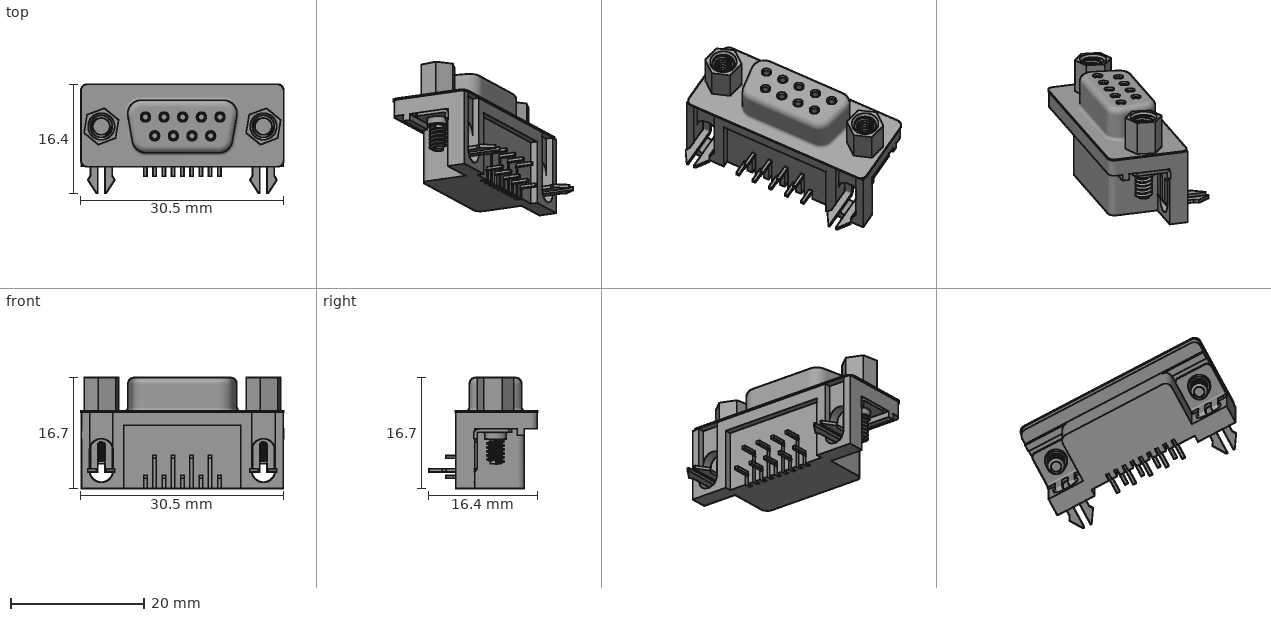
import cadquery as cq
import math


FLANGE_WIDTH = 30.5
FLANGE_FRONT = -6.08
FLANGE_REAR = 6.37
FLANGE_TOP = 11.68
FLANGE_THICKNESS = 0.22
FLANGE_CORNER_RADIUS = 1.03
FLANGE_BOTTOM = FLANGE_TOP - FLANGE_THICKNESS

HOUSING_INSET = 0.09
HOUSING_WIDTH = FLANGE_WIDTH - 2 * HOUSING_INSET
HOUSING_FRONT = FLANGE_FRONT + HOUSING_INSET
HOUSING_REAR = FLANGE_REAR - HOUSING_INSET
REAR_CORNER_RADIUS = 1.06
TOP_BLOCK_BOTTOM = 8.97
FRONT_WALL_REAR = -3.15

CORE_WIDTH = 18.5
CORE_REAR = 4.32
CORE_EDGE_RADIUS = 1.05
RIB_THICKNESS = CORE_EDGE_RADIUS
RIB_BOTTOM = 8.03

SHELL_TOP = 16.7
SHELL_DEPTH = 7.9
SHELL_MID_WIDTH = 15.8
SHELL_SIDE_ANGLE = 10
SHELL_CORNER_RADIUS = 2.05
SHELL_TOP_RADIUS = 1.0
SHELL_FOOT_RADIUS = 0.5

CONTACT_PITCH = 2.8
CONTACT_SHIFT = 0.05
ROW_Y = 1.41
LONG_ROW_COUNT = 5
SHORT_ROW_COUNT = 4
CONTACT_RADIUS = 0.5
CONTACT_MOUTH_RADIUS = 0.73
CONTACT_DEPTH = 6.0

RECESS_DEPTH = 1.05
RECESS_BACK = HOUSING_FRONT + RECESS_DEPTH
POCKET_WIDTH = 17.55
POCKET_TOP = 9.54
PIN_PITCH = 2.78
PIN_WIDTH = 0.52
PIN_THICKNESS = 0.44
PIN_TIP = -7.49
PIN_SLOT_DEPTH = 1.0
LOW_PIN_TOP = 2.0
HIGH_PIN_TOP = 5.0

SCREW_X = 12.17
LOCK_SLOT_WIDTH = 3.5
LOCK_HOLE_BOTTOM = 0.99
LOCK_HOLE_TOP = 7.5

BRACKET_THICKNESS = 0.5
BRACKET_OVERHANG = 0.03
BRACKET_WIDTH = HOUSING_WIDTH - 2 * SCREW_X + 2 * BRACKET_OVERHANG
BRACKET_REAR = 2.47
BRACKET_CORNER = 0.5
LEG_REAR = -2.77
LEG_FRONT = LEG_REAR - BRACKET_THICKNESS
LEG_SHOULDER = 7.0
PRONG_TOP = 3.0
PRONG_BOTTOM = PRONG_TOP - BRACKET_THICKNESS
BEND_INNER_RADIUS = 0.2
BEND_OUTER_RADIUS = BEND_INNER_RADIUS + BRACKET_THICKNESS

PRONG_HALF_WIDTH = 1.65
PRONG_GAP = 1.04
GAP_TOP = 7.02
BARB_HALF_WIDTH = 2.03
BARB_START = -7.4
BARB_PEAK = -8.03
PRONG_TIP = -10.02
TIP_WIDTH = 0.22

COLLAR_RADIUS = 1.63
COLLAR_FLARE = 0.08
COLLAR_FLARE_HEIGHT = 0.26
COLLAR_BOTTOM = 7.45

HEX_CORNER_DIAMETER = 5.54
HEX_TURN = 20.6
STUD_RADIUS = 1.31
STUD_CREST_RADIUS = 1.29
STUD_CORE_RADIUS = 0.79
STUD_END = 3.72
THREAD_PITCH = 0.6
STUD_THREAD_START = 3.94
STUD_THREAD_TURNS = 5.5
THREAD_OVERLAP = 0.05
CREST_FLAT = 0.08
THREAD_BASE = 0.9 * THREAD_PITCH

NUT_MINOR_RADIUS = 1.27
NUT_MAJOR_RADIUS = 1.65
NUT_MOUTH_RADIUS = 2.0
NUT_DEPTH = 4.0
NUT_THREAD_TURNS = 5


def box(x_range, y_range, z_range):
    """Axis-aligned block between the given limits."""
    size = [high - low for low, high in (x_range, y_range, z_range)]
    corner = (x_range[0], y_range[0], z_range[0])
    return cq.Workplane("XY").box(*size, centered=False).translate(corner)


def centred_box(width, y_range, z_range):
    """Block of the given X width, symmetric about X = 0."""
    return box((-width / 2, width / 2), y_range, z_range)


def cylinder(radius, bottom, top):
    """Vertical cylinder on the Z axis."""
    return cq.Workplane("XY").workplane(offset=bottom).circle(radius).extrude(top - bottom)


def cone(bottom_radius, top_radius, bottom, top):
    """Truncated vertical cone on the Z axis."""
    solid = cq.Solid.makeCone(bottom_radius, top_radius, top - bottom, pnt=cq.Vector(0, 0, bottom))
    return cq.Workplane(obj=solid)


def row_positions(count, pitch):
    """X positions of one row of contacts or pins, centred on X = 0."""
    return [(i - (count - 1) / 2) * pitch for i in range(count)]


def make_flange():
    flange = centred_box(FLANGE_WIDTH, (FLANGE_FRONT, FLANGE_REAR), (FLANGE_BOTTOM, FLANGE_TOP))
    return flange.edges("|Z").fillet(FLANGE_CORNER_RADIUS)


def make_housing():
    top_block = centred_box(HOUSING_WIDTH, (HOUSING_FRONT, HOUSING_REAR), (TOP_BLOCK_BOTTOM, FLANGE_BOTTOM))
    top_block = top_block.edges("|Z and >Y").fillet(REAR_CORNER_RADIUS)
    front_wall = centred_box(HOUSING_WIDTH, (HOUSING_FRONT, FRONT_WALL_REAR), (0, TOP_BLOCK_BOTTOM))
    core = centred_box(CORE_WIDTH, (FRONT_WALL_REAR, CORE_REAR), (0, TOP_BLOCK_BOTTOM))
    core = core.edges("|Z and >Y").fillet(CORE_EDGE_RADIUS)
    rib = centred_box(HOUSING_WIDTH, (CORE_REAR - RIB_THICKNESS, CORE_REAR), (RIB_BOTTOM, TOP_BLOCK_BOTTOM))
    return top_block.union(front_wall).union(core).union(rib)


def make_shell():
    """Solid D-shaped socket with a rounded top edge."""
    half_depth = SHELL_DEPTH / 2
    taper = half_depth * math.tan(math.radians(SHELL_SIDE_ANGLE))
    wide = SHELL_MID_WIDTH / 2 + taper
    narrow = SHELL_MID_WIDTH / 2 - taper
    outline = [(-narrow, -half_depth), (narrow, -half_depth), (wide, half_depth), (-wide, half_depth)]
    shell = cq.Workplane("XY").workplane(offset=FLANGE_TOP).polyline(outline).close()
    shell = shell.extrude(SHELL_TOP - FLANGE_TOP)
    shell = shell.edges("|Z").fillet(SHELL_CORNER_RADIUS)
    return shell.faces(">Z").edges().fillet(SHELL_TOP_RADIUS)


def flare_shell_foot(body):
    """Round the inside corner where the shell meets the flange."""
    reach = SHELL_MID_WIDTH / 2 + SHELL_DEPTH / 2
    margin = 0.1
    foot = cq.selectors.BoxSelector(
        (-reach, -SHELL_DEPTH / 2 - margin, FLANGE_TOP - margin),
        (reach, SHELL_DEPTH / 2 + margin, FLANGE_TOP + margin),
    )
    return body.edges(foot).fillet(SHELL_FOOT_RADIUS)


def make_contact_hole(x, y):
    """Blind contact hole with a countersunk mouth."""
    hole = cylinder(CONTACT_RADIUS, SHELL_TOP - CONTACT_DEPTH, SHELL_TOP)
    mouth_depth = CONTACT_MOUTH_RADIUS - CONTACT_RADIUS
    mouth = cone(CONTACT_RADIUS, CONTACT_MOUTH_RADIUS, SHELL_TOP - mouth_depth, SHELL_TOP)
    return hole.union(mouth).translate((x, y, 0))


def make_pin_slot(x, top):
    """Slot below a solder pin, open at the bottom and at the back of the pocket."""
    slot = centred_box(PIN_WIDTH, (RECESS_BACK, RECESS_BACK + PIN_SLOT_DEPTH), (0, top))
    return slot.translate((x, 0, 0))


def make_pin(x, top):
    """Rectangular solder pin leaving the closed end of its slot."""
    pin = centred_box(PIN_WIDTH, (PIN_TIP, RECESS_BACK + PIN_SLOT_DEPTH), (top - PIN_THICKNESS, top))
    return pin.translate((x, 0, 0))


def make_lock_opening():
    """Front channel with a rounded bottom, and the stadium-shaped window at its back."""
    radius = LOCK_SLOT_WIDTH / 2
    low_centre = LOCK_HOLE_BOTTOM + radius
    high_centre = LOCK_HOLE_TOP - radius

    def along_y(y_range, centre_z):
        disc = cq.Workplane("XZ", origin=(0, y_range[1], centre_z)).circle(radius)
        return disc.extrude(y_range[1] - y_range[0])

    through = (HOUSING_FRONT, FRONT_WALL_REAR)
    window = centred_box(LOCK_SLOT_WIDTH, through, (low_centre, high_centre))
    window = window.union(along_y(through, low_centre)).union(along_y(through, high_centre))
    channel = centred_box(LOCK_SLOT_WIDTH, (HOUSING_FRONT, RECESS_BACK), (low_centre, FLANGE_BOTTOM))
    return window.union(channel)


def make_bracket():
    """Bent strip: top plate under the block, leg down the wall and two barbed prongs."""
    top = TOP_BLOCK_BOTTOM
    strip = (
        cq.Workplane("YZ")
        .workplane(offset=-BRACKET_WIDTH / 2)
        .moveTo(BRACKET_REAR, top)
        .lineTo(LEG_FRONT, top)
        .lineTo(LEG_FRONT, PRONG_TOP)
        .lineTo(PRONG_TIP, PRONG_TOP)
        .lineTo(PRONG_TIP, PRONG_BOTTOM)
        .lineTo(LEG_REAR, PRONG_BOTTOM)
        .lineTo(LEG_REAR, top - BRACKET_THICKNESS)
        .lineTo(BRACKET_REAR, top - BRACKET_THICKNESS)
        .close()
        .extrude(BRACKET_WIDTH)
    )
    bends = [
        (LEG_FRONT, top, BEND_OUTER_RADIUS),
        (LEG_REAR, top - BRACKET_THICKNESS, BEND_INNER_RADIUS),
        (LEG_FRONT, PRONG_TOP, BEND_INNER_RADIUS),
        (LEG_REAR, PRONG_BOTTOM, BEND_OUTER_RADIUS),
    ]
    for y, z, radius in bends:
        bend_edge = cq.selectors.NearestToPointSelector((0, y, z))
        strip = strip.edges(bend_edge).fillet(radius)
    strip = strip.edges("|Z and >Y").chamfer(BRACKET_CORNER)

    half = BRACKET_WIDTH / 2
    right_side = [
        (half, BRACKET_REAR),
        (half, LEG_FRONT),
        (PRONG_HALF_WIDTH, LEG_FRONT),
        (PRONG_HALF_WIDTH, BARB_START),
        (BARB_HALF_WIDTH, BARB_PEAK),
        (PRONG_GAP / 2 + TIP_WIDTH, PRONG_TIP),
    ]
    left_side = [(-x, y) for x, y in reversed(right_side)]
    plan = cq.Workplane("XY").polyline(right_side + left_side).close().extrude(top)

    right_leg = [
        (half, top),
        (half, LEG_SHOULDER + BRACKET_CORNER),
        (half - BRACKET_CORNER, LEG_SHOULDER),
        (PRONG_HALF_WIDTH, LEG_SHOULDER),
        (PRONG_HALF_WIDTH, PRONG_TOP),
        (BARB_HALF_WIDTH, PRONG_TOP),
        (BARB_HALF_WIDTH, PRONG_BOTTOM),
    ]
    left_leg = [(-x, z) for x, z in reversed(right_leg)]
    elevation = cq.Workplane("XZ", origin=(0, BRACKET_REAR, 0)).polyline(right_leg + left_leg).close()
    elevation = elevation.extrude(BRACKET_REAR - PRONG_TIP)

    gap_radius = PRONG_GAP / 2
    gap = centred_box(PRONG_GAP, (PRONG_TIP, LEG_REAR), (PRONG_BOTTOM, GAP_TOP - gap_radius))
    gap_end = cq.Workplane("XZ", origin=(0, LEG_REAR, GAP_TOP - gap_radius)).circle(gap_radius)
    gap = gap.union(gap_end.extrude(BRACKET_THICKNESS))

    plate_bottom = top - BRACKET_THICKNESS
    collar = cylinder(COLLAR_RADIUS, COLLAR_BOTTOM, plate_bottom)
    flare_bottom = plate_bottom - COLLAR_FLARE_HEIGHT
    flare = cone(COLLAR_RADIUS, COLLAR_RADIUS + COLLAR_FLARE, flare_bottom, plate_bottom)
    return strip.intersect(plan).intersect(elevation).cut(gap).union(collar).union(flare)


def make_connector():
    body = make_housing().union(make_flange()).union(make_shell())
    body = flare_shell_foot(body)

    pocket = centred_box(POCKET_WIDTH, (HOUSING_FRONT, RECESS_BACK), (0, POCKET_TOP))
    body = body.cut(pocket)

    rows = [
        (LONG_ROW_COUNT, ROW_Y, LOW_PIN_TOP),
        (SHORT_ROW_COUNT, -ROW_Y, HIGH_PIN_TOP),
    ]
    for count, contact_y, pin_top in rows:
        for x in row_positions(count, CONTACT_PITCH):
            body = body.cut(make_contact_hole(x + CONTACT_SHIFT, contact_y))
        for x in row_positions(count, PIN_PITCH):
            body = body.cut(make_pin_slot(x, pin_top))
            body = body.union(make_pin(x, pin_top))

    stud_hole = cylinder(STUD_RADIUS, COLLAR_BOTTOM, FLANGE_TOP)
    for x in (-SCREW_X, SCREW_X):
        body = body.cut(make_lock_opening().translate((x, 0, 0)))
        body = body.union(make_bracket().translate((x, 0, 0)))
        body = body.cut(stud_hole.translate((x, 0, 0)))
    return body


def make_thread(root_radius, crest_radius, start, turns):
    """Helical V-shaped ridge on the Z axis, pointing outwards from root to crest."""
    root_half = THREAD_BASE / 2
    crest_half = CREST_FLAT / 2
    helix = cq.Wire.makeHelix(THREAD_PITCH, turns * THREAD_PITCH, root_radius)
    profile = cq.Workplane("XZ").polyline(
        [
            (root_radius - THREAD_OVERLAP, -root_half),
            (crest_radius, -crest_half),
            (crest_radius, crest_half),
            (root_radius - THREAD_OVERLAP, root_half),
        ]
    ).close()
    ridge = profile.sweep(cq.Workplane(obj=helix), isFrenet=True)
    return ridge.translate((0, 0, start))


def make_jackscrew():
    hexagon = cq.Workplane("XY").polygon(6, HEX_CORNER_DIAMETER).extrude(SHELL_TOP - FLANGE_TOP)
    head = hexagon.rotate((0, 0, 0), (0, 0, 1), HEX_TURN).translate((0, 0, FLANGE_TOP))

    mouth_depth = NUT_MOUTH_RADIUS - NUT_MAJOR_RADIUS
    mouth = cone(NUT_MAJOR_RADIUS, NUT_MOUTH_RADIUS, SHELL_TOP - mouth_depth, SHELL_TOP)
    head = head.cut(cylinder(NUT_MINOR_RADIUS, SHELL_TOP - NUT_DEPTH, SHELL_TOP))
    thread_start = SHELL_TOP - mouth_depth / 2 - NUT_THREAD_TURNS * THREAD_PITCH
    groove = make_thread(NUT_MINOR_RADIUS, NUT_MAJOR_RADIUS, thread_start, NUT_THREAD_TURNS)
    head = head.cut(groove).cut(mouth)

    shank = cylinder(STUD_RADIUS, COLLAR_BOTTOM, FLANGE_TOP)
    core = cylinder(STUD_CORE_RADIUS, STUD_END, COLLAR_BOTTOM)
    thread = make_thread(STUD_CORE_RADIUS, STUD_CREST_RADIUS, STUD_THREAD_START, STUD_THREAD_TURNS)
    stud = shank.union(core).union(thread)
    return head.union(stud)


connector = make_connector()
jackscrews = [make_jackscrew().translate((x, 0, 0)) for x in (-SCREW_X, SCREW_X)]

result = cq.Compound.makeCompound([connector.val(), *[screw.val() for screw in jackscrews]])